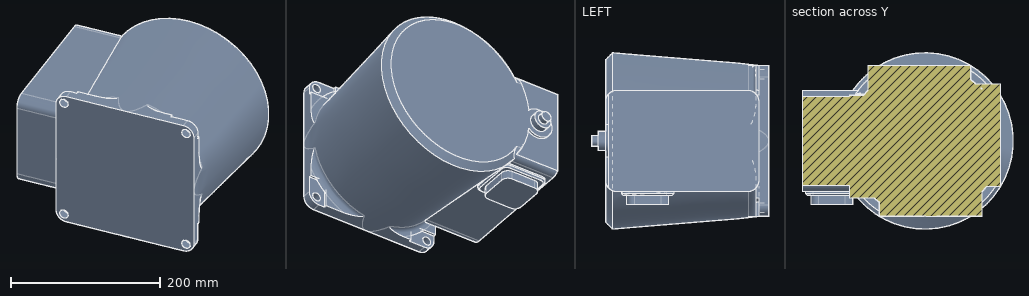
import cadquery as cq
import math

overall_length = 282.5

cone_back = 218.3
cone_diameter = 236.5
cone_radius = cone_diameter / 2
rim_chamfer = 9.3

plate_side = 202.2
plate_thickness = 17.2
plate_corner_radius = 15.5
bolt_hole_diameter = 12.5
bolt_spacing = 178.8

relief_floor = 13.3
relief_short = 24.5
relief_long = 39.8

root_fillet = 9.0

box_left = cone_radius - overall_length
box_height = 135.5
box_front = relief_floor
box_corner_radius = 15.0
box_inner_end = -56.5
back_recess_depth = 4.0
back_recess_inner_radius = 115.8

post_x = -130.5
post_base_radius = 21.7
post_collar_radius = 13.0
post_collar_back = 228.5
post_tip_radius = 7.3
post_back = 237.0

connector_x = -124.8
connector_y = 162.0
connector_flange_side = 70.5
connector_flange_thickness = 5.0
connector_flange_chamfer = 2.5
connector_body_side = 56.2
connector_drop = 17.5
connector_corner_radius = 10.2

plate_half = plate_side / 2
box_bottom = -box_height / 2


def y_cylinder(x, radius, start, end):
    """Cylinder parallel to the cone axis, between two Y positions."""
    return cq.Workplane("XZ", origin=(x, start, 0)).circle(radius).extrude(start - end)


def make_plate():
    plate = cq.Workplane("XZ").rect(plate_side, plate_side).extrude(-plate_thickness)
    plate = plate.edges("|Y").fillet(plate_corner_radius)
    relief = cq.Workplane("XY").box(
        relief_short, plate_thickness, relief_long, centered=False
    ).translate((-plate_half, relief_floor, plate_half - relief_long))
    for quarter in range(4):
        plate = plate.cut(relief.rotate((0, 0, 0), (0, 1, 0), quarter * 90))
    return plate


def make_cone():
    """Cone tangent to the plate sides at Y = 0, with a concave fillet where it leaves the plate."""
    rim_y = cone_back - rim_chamfer
    slope = (cone_radius - plate_half) / rim_y
    cone = (
        cq.Workplane("XY")
        .lineTo(plate_half, 0)
        .lineTo(cone_radius, rim_y)
        .lineTo(cone_radius - rim_chamfer, cone_back)
        .lineTo(0, cone_back)
        .close()
        .revolve(360, (0, 0, 0), (0, 1, 0))
    )

    tilt = math.atan(slope)
    center_y = plate_thickness + root_fillet
    center_x = plate_half + slope * center_y + root_fillet / math.cos(tilt)
    wall_point = (
        center_x - root_fillet * math.cos(tilt),
        center_y + root_fillet * math.sin(tilt),
    )
    middle_angle = (math.pi - tilt + 3 * math.pi / 2) / 2
    middle_point = (
        center_x + root_fillet * math.cos(middle_angle),
        center_y + root_fillet * math.sin(middle_angle),
    )
    fillet_ring = (
        cq.Workplane("XY")
        .moveTo(plate_half, plate_thickness)
        .lineTo(center_x, plate_thickness)
        .threePointArc(middle_point, wall_point)
        .lineTo(plate_half, wall_point[1])
        .close()
        .revolve(360, (0, 0, 0), (0, 1, 0))
    )
    plate_column = cq.Workplane("XZ").rect(plate_side, plate_side).extrude(-cone_back)
    return cone.union(fillet_ring.intersect(plate_column))


def make_box():
    length = box_inner_end - box_left
    depth = cone_back - box_front
    box = cq.Workplane("XY").box(length, depth, box_height, centered=(False, False, True))
    box = box.translate((box_left, box_front, 0)).edges("|X").fillet(box_corner_radius)
    recess = cq.Workplane("XY").box(
        length, back_recess_depth, box_height, centered=(False, False, True)
    ).translate((box_left, cone_back - back_recess_depth, 0))
    rim_wall = y_cylinder(0, back_recess_inner_radius, cone_back - back_recess_depth, cone_back)
    return box.cut(recess.cut(rim_wall))


def make_post():
    recess_floor = cone_back - back_recess_depth
    base = y_cylinder(post_x, post_base_radius, recess_floor, cone_back)
    collar = y_cylinder(post_x, post_collar_radius, cone_back, post_collar_back)
    tip = y_cylinder(post_x, post_tip_radius, post_collar_back, post_back)
    return base.union(collar).union(tip)


def make_connector():
    def rounded_block(side, drop):
        block = (
            cq.Workplane("XY", origin=(connector_x, connector_y, box_bottom))
            .rect(side, side)
            .extrude(-drop)
        )
        return block.edges("|Z").fillet(connector_corner_radius)

    flange = rounded_block(connector_flange_side, connector_flange_thickness)
    flange = flange.faces("<Z").chamfer(connector_flange_chamfer)
    return flange.union(rounded_block(connector_body_side, connector_drop))


def make_bolt_holes():
    return (
        cq.Workplane("XZ")
        .rect(bolt_spacing, bolt_spacing, forConstruction=True)
        .vertices()
        .circle(bolt_hole_diameter / 2)
        .extrude(-plate_thickness)
    )


result = (
    make_plate()
    .union(make_cone())
    .union(make_box())
    .union(make_post())
    .union(make_connector())
    .cut(make_bolt_holes())
)